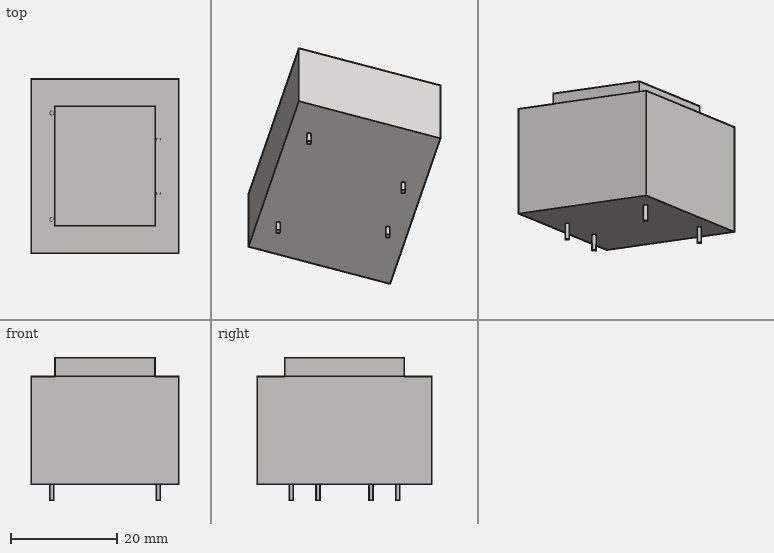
import cadquery as cq

housing_width = 27.8
housing_length = 32.8
housing_height = 20.3
cap_width = 18.8
cap_length = 22.5
cap_height = 3.5

pin_diameter = 0.8
pin_length = 3.0
row_spacing = 20.0
wide_pair_spacing = 20.0
narrow_pair_spacing = 10.0


def make_housing():
    """Block standing on Z = 0 with the raised block on top, as one solid."""
    block = cq.Workplane("XY").box(
        housing_width, housing_length, housing_height, centered=(True, True, False)
    )
    return block.faces(">Z").workplane().rect(cap_width, cap_length).extrude(cap_height)


def make_pin(x, y):
    """Round pin hanging from the underside of the housing."""
    return cq.Workplane("XY").center(x, y).circle(pin_diameter / 2).extrude(-pin_length)


housing = make_housing()

pins = []
for row_side, pair_spacing in ((-1, wide_pair_spacing), (1, narrow_pair_spacing)):
    for pin_side in (-1, 1):
        pin_x = row_side * row_spacing / 2
        pin_y = pin_side * pair_spacing / 2
        pins.append(make_pin(pin_x, pin_y))

result = cq.Compound.makeCompound([housing.val(), *[pin.val() for pin in pins]])